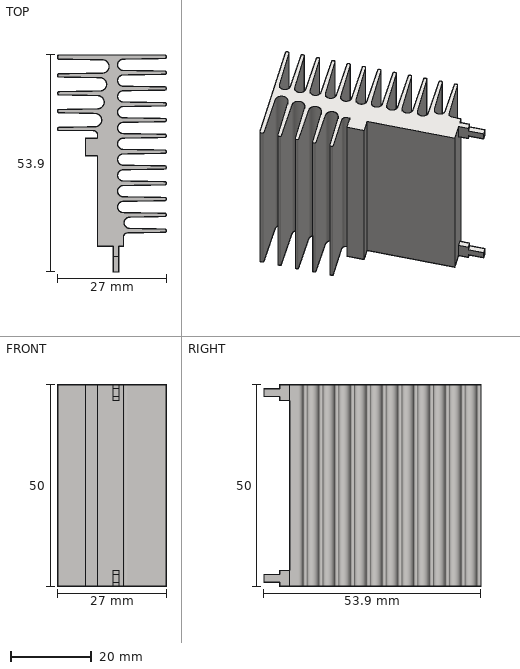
import cadquery as cq
import math

width = 27.0
length = 53.85
height = 50.0

core_left = 9.9
core_right = 16.35
core_end = -47.45

ledge_left = 6.9
ledge_top = -20.6
ledge_bottom = -25.05

fin_tip_thickness = 0.85
fin_root_thickness = 1.2
fin_tip_radius = 0.4
fin_root_radius = 1.0

left_fin_count = 5
left_first_centre = -0.65
left_last_centre = -18.35
left_pitch = (left_last_centre - left_first_centre) / (left_fin_count - 1)
left_first_slot_end = 12.75
left_last_slot_end = 10.95
left_slot_step = (left_last_slot_end - left_first_slot_end) / (left_fin_count - 2)

right_fin_count = 12
right_first_centre = -0.5
right_last_centre = -43.55
right_pitch = (right_last_centre - right_first_centre) / (right_fin_count - 1)
right_slot_end = 14.9
right_last_slot_end = 16.55

pin_left = 13.8
pin_thickness = 1.4
pin_base_height = 4.0
pin_tip_height = pin_base_height / 2
pin_shoulder = -49.9


def block(x_min, x_max, y_min, y_max, z_min=0.0, z_max=height):
    """Box given by its limits."""
    size = (x_max - x_min, y_max - y_min, z_max - z_min)
    return cq.Workplane("XY").box(*size, centered=False).translate((x_min, y_min, z_min))


def fin_slot(mouth_x, end_x, upper_fin, lower_fin):
    """Tapered slot between two fin centre lines, open at the mouth and semicircular at its closed end."""
    round_radius = (upper_fin - lower_fin - fin_root_thickness) / 2
    root_x = end_x + math.copysign(round_radius, mouth_x - end_x)
    upper_root = (root_x, upper_fin - fin_root_thickness / 2)
    round_middle = (end_x, (upper_fin + lower_fin) / 2)
    return (
        cq.Workplane("XY")
        .moveTo(*upper_root)
        .lineTo(mouth_x, upper_fin - fin_tip_thickness / 2)
        .lineTo(mouth_x, lower_fin + fin_tip_thickness / 2)
        .lineTo(root_x, lower_fin + fin_root_thickness / 2)
        .threePointArc(round_middle, upper_root)
        .close()
        .extrude(height)
    )


def solid_profile():
    """Core and both fin banks before the slots are cut."""
    left_bottom = left_last_centre - fin_tip_thickness / 2
    right_tip_bottom = right_last_centre - fin_tip_thickness / 2
    right_root_bottom = right_last_centre - fin_root_thickness / 2
    profile = (
        cq.Workplane("XY")
        .polyline([
            (0, 0),
            (width, 0),
            (width, right_tip_bottom),
            (core_right, right_root_bottom),
            (core_right, core_end),
            (core_left, core_end),
            (core_left, left_bottom),
            (0, left_bottom),
        ])
        .close()
        .extrude(height)
    )
    inner_corners = [(core_right, right_root_bottom), (core_left, left_bottom)]
    for x, y in inner_corners:
        corner = cq.selectors.NearestToPointSelector((x, y, height / 2))
        profile = profile.edges("|Z").edges(corner).fillet(fin_root_radius)
    return profile


def cut_left_slots(body):
    for i in range(left_fin_count - 1):
        upper_fin = left_first_centre + i * left_pitch
        end_x = left_first_slot_end + i * left_slot_step
        body = body.cut(fin_slot(0, end_x, upper_fin, upper_fin + left_pitch))
    return body


def cut_right_slots(body):
    slot_count = right_fin_count - 1
    for i in range(slot_count):
        upper_fin = right_first_centre + i * right_pitch
        end_x = right_last_slot_end if i == slot_count - 1 else right_slot_end
        body = body.cut(fin_slot(width, end_x, upper_fin, upper_fin + right_pitch))
    return body


def round_fin_tips(body):
    for side in ("<X", ">X"):
        body = body.faces(side).edges("|Z").fillet(fin_tip_radius)
    return body


def solder_pin(base_z):
    """Stepped pin: a wide base and a narrow tip centred on it."""
    pin_right = pin_left + pin_thickness
    tip_z = base_z + (pin_base_height - pin_tip_height) / 2
    base = block(pin_left, pin_right, pin_shoulder, core_end, base_z, base_z + pin_base_height)
    tip = block(pin_left, pin_right, -length, pin_shoulder, tip_z, tip_z + pin_tip_height)
    return base.union(tip)


result = round_fin_tips(cut_right_slots(cut_left_slots(solid_profile())))
result = result.union(block(ledge_left, core_left, ledge_bottom, ledge_top))
for pin_z in (0, height - pin_base_height):
    result = result.union(solder_pin(pin_z))